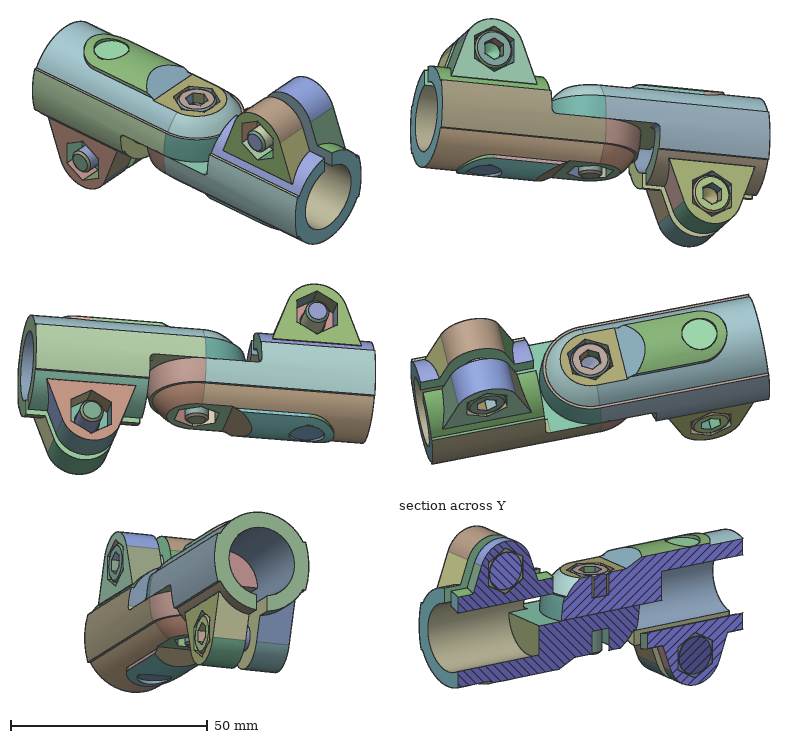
import cadquery as cq
import math

HALF_LENGTH = 44.0
TUBE_RADIUS = 13.0
BORE_RADIUS = 9.0
BULGE_HEIGHT = 6.3
BULGE_EDGE_Y = 12.1
BORE_END_X = 19.0
SHOULDER_X = 14.5
SHOULDER_FILLET = 1.3
SLIT_WIDTH = 3.0

FLAT_Z = 10.5
RAMP_START_X = -8.0
RAMP_ANGLE = 26.0

PAD_TOP_Z = 13.5
PAD_CROWN_RADIUS = 15.5
PAD_HALF_WIDTH = 7.3
PAD_END_X = -28.2
PAD_RECESS_X = -28.5
PAD_RECESS_DIAMETER = 9.0
PAD_RECESS_Z = 12.55

LUG_X = -(HALF_LENGTH + SHOULDER_X) / 2
LUG_Z = -16.475
LUG_RADIUS = 8.0
LUG_BASE_Z = -8.15
LUG_SIDE_ANGLE = 20.0
LUG_HALF_WIDTH = 10.5

SCREW_DIAMETER = 6.0
SCREW_SHANK = 16.0
SCREW_TIP_CHAMFER = 0.6
HEAD_DIAMETER = 10.0
HEAD_HEIGHT = 6.0
HEAD_CHAMFER = 0.5
SOCKET_FLATS = 5.0
SOCKET_DEPTH = 3.0
SOCKET_CONE_ANGLE = 60.0
HOLE_DIAMETER = 6.5
HEX_FLATS = 10.5
HEX_DEPTH = HEAD_HEIGHT

X_AXIS = cq.Vector(1, 0, 0)
Y_AXIS = cq.Vector(0, 1, 0)
ORIGIN = cq.Vector(0, 0, 0)


def hexagon_diameter(flats):
    """Diameter across the corners of a hexagon."""
    return flats / math.cos(math.radians(30))


def round_half_width(z):
    """Half width of the round tube at height z."""
    return math.sqrt(TUBE_RADIUS**2 - z**2)


def bulge_middle():
    """Midpoint (y, z) of the bulge arc between its widest point and its upper edge."""
    radius = (BULGE_HEIGHT**2 / (TUBE_RADIUS - BULGE_EDGE_Y) + TUBE_RADIUS - BULGE_EDGE_Y) / 2
    half_angle = math.asin(BULGE_HEIGHT / radius) / 2
    return TUBE_RADIUS - radius * (1 - math.cos(half_angle)), radius * math.sin(half_angle)


def tube():
    """Solid tube outline from the open end to the pivot axis."""
    round_y = round_half_width(BULGE_HEIGHT)
    return (
        cq.Workplane("YZ", origin=(-HALF_LENGTH, 0, 0))
        .moveTo(BULGE_EDGE_Y, -BULGE_HEIGHT)
        .threePointArc((TUBE_RADIUS, 0), (BULGE_EDGE_Y, BULGE_HEIGHT))
        .lineTo(round_y, BULGE_HEIGHT)
        .threePointArc((0, TUBE_RADIUS), (-round_y, BULGE_HEIGHT))
        .lineTo(-BULGE_EDGE_Y, BULGE_HEIGHT)
        .threePointArc((-TUBE_RADIUS, 0), (-BULGE_EDGE_Y, -BULGE_HEIGHT))
        .lineTo(-round_y, -BULGE_HEIGHT)
        .threePointArc((0, -TUBE_RADIUS), (round_y, -BULGE_HEIGHT))
        .close()
        .extrude(HALF_LENGTH)
    )


def dome():
    """Rounded tongue end: the upper tube outline turned half a turn about the pivot axis."""
    middle_z = (BULGE_HEIGHT + FLAT_Z) / 2
    return (
        cq.Workplane("YZ")
        .lineTo(TUBE_RADIUS, 0)
        .threePointArc(bulge_middle(), (BULGE_EDGE_Y, BULGE_HEIGHT))
        .lineTo(round_half_width(BULGE_HEIGHT), BULGE_HEIGHT)
        .threePointArc((round_half_width(middle_z), middle_z), (round_half_width(FLAT_Z), FLAT_Z))
        .lineTo(0, FLAT_Z)
        .close()
        .revolve(180, (0, 0, 0), (0, -1, 0))
    )


def pad():
    """Crowned pad on top of the tube, round at its outer end, before its recess is cut."""
    outline = (
        cq.Workplane("XY")
        .moveTo(0, -PAD_HALF_WIDTH)
        .lineTo(PAD_END_X, -PAD_HALF_WIDTH)
        .threePointArc((PAD_END_X - PAD_HALF_WIDTH, 0), (PAD_END_X, PAD_HALF_WIDTH))
        .lineTo(0, PAD_HALF_WIDTH)
        .close()
        .extrude(PAD_TOP_Z)
    )
    crown = (
        cq.Workplane("YZ", origin=(-HALF_LENGTH, 0, 0))
        .center(0, PAD_TOP_Z - PAD_CROWN_RADIUS)
        .circle(PAD_CROWN_RADIUS)
        .extrude(HALF_LENGTH)
    )
    return outline.intersect(crown)


def recess_cut():
    """Round flat-bottomed recess in the pad."""
    recess = cq.Workplane("XY", origin=(PAD_RECESS_X, 0, PAD_RECESS_Z)).circle(PAD_RECESS_DIAMETER / 2)
    return recess.extrude(PAD_TOP_Z - PAD_RECESS_Z)


def lug():
    """Rounded lug below the tube with tangent sloping sides that run into the tube wall."""
    slope = math.radians(LUG_SIDE_ANGLE)
    tangent_x = LUG_RADIUS * math.cos(slope)
    tangent_z = LUG_Z - LUG_RADIUS * math.sin(slope)
    base_x = tangent_x + (LUG_BASE_Z - tangent_z) * math.tan(slope)
    return (
        cq.Workplane("XZ", origin=(LUG_X, LUG_HALF_WIDTH, 0))
        .moveTo(base_x, LUG_BASE_Z)
        .lineTo(tangent_x, tangent_z)
        .threePointArc((0, LUG_Z - LUG_RADIUS), (-tangent_x, tangent_z))
        .lineTo(-base_x, LUG_BASE_Z)
        .close()
        .extrude(2 * LUG_HALF_WIDTH)
    )


def ramp_cut():
    """Space above the flat and the ramp that leads up from it to the pad."""
    ramp_height = TUBE_RADIUS
    ramp_run = ramp_height / math.tan(math.radians(RAMP_ANGLE))
    return (
        cq.Workplane("XZ", origin=(0, TUBE_RADIUS, 0))
        .moveTo(RAMP_START_X, FLAT_Z)
        .lineTo(RAMP_START_X - ramp_run, FLAT_Z + ramp_height)
        .lineTo(TUBE_RADIUS, FLAT_Z + ramp_height)
        .lineTo(TUBE_RADIUS, FLAT_Z)
        .close()
        .extrude(2 * TUBE_RADIUS)
    )


def tongue_cut():
    """Space below the tongue, rounded where it meets the tube's shoulder."""
    return (
        cq.Workplane("XY")
        .rect(2 * SHOULDER_X, 4 * TUBE_RADIUS)
        .extrude(-2 * TUBE_RADIUS)
        .edges("|Y and >Z and <X")
        .fillet(SHOULDER_FILLET)
    )


def bore_cut():
    """Bore open through the shoulder below the joint plane, ended by a wall above it."""
    bore = (
        cq.Workplane("YZ", origin=(-HALF_LENGTH, 0, 0))
        .circle(BORE_RADIUS)
        .extrude(HALF_LENGTH)
    )
    end_wall = cq.Workplane("XY").rect(2 * BORE_END_X, 2 * TUBE_RADIUS).extrude(TUBE_RADIUS)
    return bore.cut(end_wall)


def slit_cut():
    """Clamping slit through the tube's lower wall and the lug."""
    depth = LUG_RADIUS - LUG_Z
    slit = cq.Workplane("XY", origin=(-HALF_LENGTH / 2, 0, 0)).rect(HALF_LENGTH, SLIT_WIDTH)
    return slit.extrude(-depth)


def hexagon_cut(face):
    """Hexagonal pocket cut going down from a face."""
    return face.polygon(6, hexagon_diameter(HEX_FLATS)).extrude(-HEX_DEPTH)


def pivot_hole():
    """Pivot hole with a hexagonal pocket in the flat, corners pointing along Y."""
    hole = cq.Workplane("XY").circle(HOLE_DIAMETER / 2).extrude(FLAT_Z)
    flat = cq.Workplane(cq.Plane((0, 0, FLAT_Z), Y_AXIS, (0, 0, 1)))
    return hole.union(hexagon_cut(flat))


def lug_hole():
    """Clamp screw hole with a hexagonal pocket in each side of the lug, corners pointing along Z."""
    hole = cq.Workplane("XZ", origin=(LUG_X, LUG_HALF_WIDTH, LUG_Z)).circle(HOLE_DIAMETER / 2)
    cut = hole.extrude(2 * LUG_HALF_WIDTH)
    for side in (-1, 1):
        face = cq.Plane((LUG_X, side * LUG_HALF_WIDTH, LUG_Z), (0, 0, 1), (0, side, 0))
        cut = cut.union(hexagon_cut(cq.Workplane(face)))
    return cut


def clamp():
    """Clamp half that opens toward -X, with its lug below and its tongue above the joint plane."""
    body = tube().union(pad()).union(lug())
    body = body.cut(tongue_cut()).cut(ramp_cut()).cut(recess_cut())
    body = body.cut(bore_cut()).cut(slit_cut())
    body = body.union(dome())
    return body.cut(pivot_hole()).cut(lug_hole())


def cap_screw():
    """Socket head cap screw along Z: head top at FLAT_Z, shank pointing down, socket corners along Y."""
    seat_z = FLAT_Z - HEAD_HEIGHT
    head = cq.Workplane("XY", origin=(0, 0, seat_z)).circle(HEAD_DIAMETER / 2).extrude(HEAD_HEIGHT)
    head = head.faces(">Z").chamfer(HEAD_CHAMFER)
    shank = cq.Workplane("XY", origin=(0, 0, seat_z)).circle(SCREW_DIAMETER / 2).extrude(-SCREW_SHANK)
    shank = shank.faces("<Z").chamfer(SCREW_TIP_CHAMFER)
    top = cq.Workplane(cq.Plane((0, 0, FLAT_Z), Y_AXIS, (0, 0, 1)))
    socket = top.polygon(6, hexagon_diameter(SOCKET_FLATS)).extrude(-SOCKET_DEPTH)
    cone_radius = SOCKET_FLATS / 2
    cone_depth = cone_radius / math.tan(math.radians(SOCKET_CONE_ANGLE))
    cone = cq.Solid.makeCone(
        cone_radius, 0, cone_depth, cq.Vector(0, 0, FLAT_Z - SOCKET_DEPTH), cq.Vector(0, 0, -1)
    )
    return head.union(shank).cut(socket).cut(cq.Workplane(cone))


def clamp_screw():
    """Cap screw laid along Y through the lug, head toward +Y."""
    laid = cap_screw().rotate(ORIGIN, X_AXIS, -90)
    return laid.translate((LUG_X, LUG_HALF_WIDTH - FLAT_Z, LUG_Z))


HALF_TURNS = (0, 180)
clamps = [clamp().rotate(ORIGIN, Y_AXIS, turn) for turn in HALF_TURNS]
clamp_screws = [clamp_screw().rotate(ORIGIN, Y_AXIS, turn) for turn in HALF_TURNS]
pivot_screw = cap_screw()

bodies = [*clamps, *clamp_screws, pivot_screw]
result = cq.Compound.makeCompound([body.val() for body in bodies])